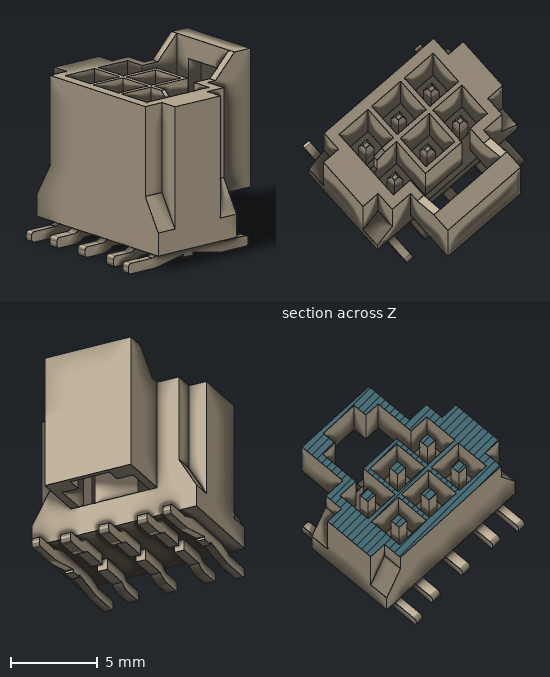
import cadquery as cq
import math


pitch = 2.5
columns = (-pitch, 0, pitch)
rows = (-pitch / 2, pitch / 2)

body_width = 10.72
body_front = -3.0
body_back = 2.96
body_bottom = 1.0
body_top = 9.72
floor_z = 2.83

relief_width = 1.15
relief_back_depth = 1.24
relief_front_depth = 1.27
relief_start_z = 4.33
relief_end_z = 2.39

wall = 0.29
cell = pitch - wall
cavity_half_width = pitch + cell / 2
cavity_half_depth = pitch / 2 + cell / 2

latch_half_width = 2.8
latch_wall = 0.5
latch_slot_half_width = latch_half_width - latch_wall
latch_back = 6.19
latch_bar = 1.22
latch_top = 11.16
latch_slope_end = 3.54
latch_recess_width = 2.55
latch_recess_depth = 0.94
latch_recess_top = 9.87

notch_start_x = 2.3
notch_chamfer = 0.6
notch_floor_z = 6.25

pin_size = 0.64
pin_tip_width = 0.3
pin_tip_depth = 0.25
pin_top = 6.92
pin_taper = 0.71

lead_thickness = 0.65
lead_tip_radius = 0.21
contact_lead_reach = 4.23
contact_bend_y = 2.97
contact_bend_radius = 0.65
contact_base_z = 0.3
contact_inner_y = 0.33
nail_x = 4.27
nail_width = 0.5
nail_reach = 4.55
nail_bend_top_y = 2.72
nail_bend_bottom_y = 2.48
nail_top_slope = 0.33
nail_bottom_slope = 0.2
nail_centre_bottom = 0.4
nail_peg_width = 0.74
nail_peg_bottom = 0.25


def block(x0, x1, y0, y1, z0, z1):
    """Box between two opposite corners."""
    return cq.Workplane("XY").box(x1 - x0, y1 - y0, z1 - z0, centered=False).translate((x0, y0, z0))


def profile_yz(points, x_centre, width):
    """Plate with a YZ outline, centred on x_centre."""
    plate = cq.Workplane("YZ").polyline(points).close().extrude(width / 2, both=True)
    return plate.translate((x_centre, 0, 0))


def corner_relief(side, y0, y1):
    """Cutter for one vertical body corner, running out through a sloped foot."""
    outer = side * body_width / 2
    inner = outer - side * relief_width
    points = [(outer, relief_end_z), (outer, body_top), (inner, body_top), (inner, relief_start_z)]
    return cq.Workplane("XZ").polyline(points).close().extrude(-(y1 - y0)).translate((0, y0, 0))


def make_body():
    """Solid block with relieved corners."""
    body = block(-body_width / 2, body_width / 2, body_front, body_back, body_bottom, body_top)
    for side in (-1, 1):
        body = body.cut(corner_relief(side, body_front, body_front + relief_front_depth))
        body = body.cut(corner_relief(side, body_back - relief_back_depth, body_back))
    return body


def make_latch():
    """Frame with sloped cheeks, a back bar and a recess on the inside of the bar."""
    bar_front = latch_back - latch_bar
    outline = [
        (cavity_half_depth, floor_z),
        (latch_back, floor_z),
        (latch_back, latch_top),
        (bar_front, latch_top),
        (latch_slope_end, body_top),
        (cavity_half_depth, body_top),
    ]
    frame = profile_yz(outline, 0, 2 * latch_half_width)
    recess = block(
        -latch_recess_width / 2,
        latch_recess_width / 2,
        bar_front,
        bar_front + latch_recess_depth,
        floor_z,
        latch_recess_top,
    )
    return frame.cut(recess)


def make_opening():
    """Everything hollowed out above the cavity floor, with the cell dividers left standing."""
    slot = latch_slot_half_width
    cavity = block(
        -cavity_half_width, cavity_half_width, -cavity_half_depth, cavity_half_depth, floor_z, body_top
    )
    channel = block(-slot, slot, cavity_half_depth, latch_back - latch_bar, floor_z, latch_top)
    return cavity.union(channel).cut(make_dividers())


def make_dividers():
    """Walls between the cells, the wall behind the middle cell and the notch in one divider."""
    dividers = block(-cavity_half_width, cavity_half_width, -wall / 2, wall / 2, floor_z, body_top)
    for x in (-pitch / 2, pitch / 2):
        upright = block(
            x - wall / 2, x + wall / 2, -cavity_half_depth, cavity_half_depth + wall, floor_z, body_top
        )
        dividers = dividers.union(upright)
    half_back_wall = (pitch + wall) / 2
    back_wall = block(
        -half_back_wall, half_back_wall, cavity_half_depth, cavity_half_depth + wall, floor_z, body_top
    )
    notch_points = [
        (notch_start_x, body_top),
        (notch_start_x + notch_chamfer, body_top - notch_chamfer),
        (notch_start_x + notch_chamfer, notch_floor_z),
        (cavity_half_width, notch_floor_z),
        (cavity_half_width, body_top),
    ]
    notch = cq.Workplane("XZ").polyline(notch_points).close().extrude(wall / 2, both=True)
    return dividers.union(back_wall).cut(notch)


def make_pin(x, y):
    """Square pin with a pyramid tip, standing in a cell."""
    shoulder = pin_top - pin_taper
    shank = block(
        x - pin_size / 2, x + pin_size / 2, y - pin_size / 2, y + pin_size / 2, body_bottom, shoulder
    )
    tip = (
        cq.Workplane("XY", origin=(x, y, shoulder))
        .rect(pin_size, pin_size)
        .workplane(offset=pin_taper)
        .rect(pin_tip_width, pin_tip_depth)
        .loft()
    )
    return shank.union(tip)


def make_contact_lead(x, side):
    """Lead that leaves the body through a round bend and ends in a flat foot with rounded corners."""
    outer_radius = contact_bend_radius + lead_thickness
    bend_z = outer_radius
    inner_turn = math.acos((bend_z - body_bottom) / contact_bend_radius)
    outer_turn = math.acos((bend_z - contact_base_z) / outer_radius)

    def bend_point(radius, angle):
        return side * (contact_bend_y - radius * math.sin(angle)), bend_z - radius * math.cos(angle)

    outline = (
        cq.Workplane("YZ")
        .moveTo(side * contact_inner_y, body_bottom)
        .lineTo(*bend_point(contact_bend_radius, inner_turn))
        .threePointArc(bend_point(contact_bend_radius, inner_turn / 2), bend_point(contact_bend_radius, 0))
        .lineTo(side * contact_lead_reach, lead_thickness)
        .lineTo(side * contact_lead_reach, 0)
        .lineTo(side * contact_bend_y, 0)
        .threePointArc(bend_point(outer_radius, outer_turn / 2), bend_point(outer_radius, outer_turn))
        .lineTo(side * contact_inner_y, contact_base_z)
        .close()
    )
    lead = outline.extrude(pin_size / 2, both=True).translate((x, 0, 0))
    return lead.faces(">Y" if side > 0 else "<Y").edges("|X").fillet(lead_tip_radius)


def make_nail(x):
    """Solder nail across the body end, arched between its two flat feet."""
    arch_y = nail_bend_bottom_y - nail_centre_bottom / nail_bottom_slope
    top_y = nail_bend_top_y - (body_bottom - lead_thickness) / nail_top_slope
    half = [
        (top_y, body_bottom),
        (nail_bend_top_y, lead_thickness),
        (nail_reach, lead_thickness),
        (nail_reach, 0),
        (nail_bend_bottom_y, 0),
        (arch_y, nail_centre_bottom),
    ]
    other_half = [(-y, z) for y, z in reversed(half)]
    nail = profile_yz(half + other_half, x, nail_width)
    nail = nail.faces("<Y or >Y").edges("|X").fillet(lead_tip_radius)
    peg = block(
        x - nail_width / 2,
        x + nail_width / 2,
        -nail_peg_width / 2,
        nail_peg_width / 2,
        nail_peg_bottom,
        body_bottom,
    )
    return nail.union(peg)


result = make_body().union(make_latch()).cut(make_opening())
for column in columns:
    for row in rows:
        result = result.union(make_pin(column, row))
    for side in (-1, 1):
        result = result.union(make_contact_lead(column, side))
for side in (-1, 1):
    result = result.union(make_nail(side * nail_x))